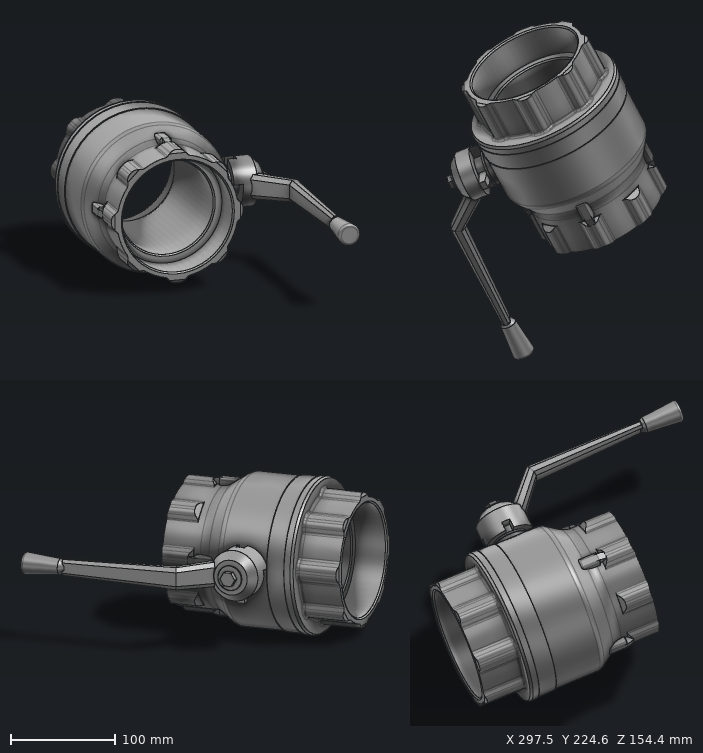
import cadquery as cq
import math


LENGTH = 184.7
NECK_RADIUS = 61.5
BODY_RADIUS = 75.3
COLLAR_START = 42.5
COLLAR_CHAMFER_LENGTH = 2.7
COLLAR_CHAMFER = 1.5
COLLAR_END = 51.8
COLLAR_RADIUS = 77.2
NECK_FILLET = 2.7
RING_END = 70.2
RING_RADIUS = 76.5
RING_TAPER = 0.3
SHOULDER_START = 116.5
SHOULDER_BEND = 5.0
CONE_LENGTH = 13.7
CONE_ANGLE = math.radians(33.7)

PASSAGE_RADIUS = 47.5
SEAT_CHAMFER = 1.5
SOCKET_RADIUS = 56.0
SOCKET_DEPTH = 32.7
MOUTH_CHAMFER = 1.5

LOBE_COUNT = 8
LOBE_RADIUS = 67.0
PAD_ROOT_RADIUS = 58.3
LOBE_CROWN_HALF = 1.5
LOBE_SHOULDER_HALF = 7.5
LOBE_FLANK_HALF = 10.5
LOBE_FOOT_HALF = 13.7
LOBE_END_LENGTH = 1.5
LOBE_END_DROP = 3.3
RIGHT_LOBE_START = 152.0
RIGHT_LOBE_RAMP = 4.5
RIGHT_RAMP_DROP = 5.0
RIGHT_VALLEY_SINK = 0.3
PAD_COUNT = 4
PAD_START = 129.0
PAD_END = 148.8
PAD_RADIUS = 68.7
PAD_WIDTH = 11.5
PAD_ROUND = 2.5
PAD_BRIDGE_WIDTH = 7.0

STEM_X = 92.2
STEM_BASE_Y = 53.5
HUB_RADIUS = 25.0
HUB_BOTTOM_Y = 80.3
HUB_BEVEL_Y = 104.5
HUB_TOP_Y = 112.8
HUB_TOP_RADIUS = 17.3
GLAND_RADIUS = 18.9
GLAND_TOP_Y = 78.0
STEM_RADIUS = 17.8
STEM_CORE_RADIUS = 12.8
WASHER_RADIUS = 12.2
WASHER_NECK_RADIUS = 10.5
WASHER_BOTTOM_Y = 114.0
WASHER_TOP_Y = 115.5
BOLT_TOP_Y = 121.0
BOLT_ACROSS_CORNERS = 15.2
NOTCH_TOP_Y = 89.5
NOTCH_HALF = 4.2
TAB_BOTTOM_Y = 82.0
TAB_TOP_Y = 88.0
TAB_REACH = 31.0
TAB_WIDTH = 8.3
TAB_SLOPE_REACH = 19.0

LEVER_TOP_Y = 140.7
GRIP_AXIS_Y = 136.3
GRIP_START = 254.0
GRIP_CONE_START = 259.7
GRIP_END = 297.5
GRIP_NOSE_RADIUS = 4.8
GRIP_CONE_RADIUS = 8.0
GRIP_END_RADIUS = 11.15
GRIP_ROUND = 2.7


def ring_copies(shape, count):
    """Copies of a shape spaced evenly around the bore axis."""
    return [shape.rotate((0, 0, 0), (1, 0, 0), i * 360 / count) for i in range(count)]


def turned_body():
    bend_drop = SHOULDER_BEND * math.tan(CONE_ANGLE / 2)
    cone_start = SHOULDER_START + SHOULDER_BEND
    cone_end = cone_start + CONE_LENGTH
    cone_end_radius = BODY_RADIUS - bend_drop - CONE_LENGTH * math.tan(CONE_ANGLE)
    hollow_length = (cone_end_radius - NECK_RADIUS) / math.tan(CONE_ANGLE / 2)
    return (
        cq.Workplane("XY")
        .moveTo(COLLAR_START, 0)
        .lineTo(COLLAR_START, COLLAR_RADIUS - COLLAR_CHAMFER)
        .lineTo(COLLAR_START + COLLAR_CHAMFER_LENGTH, COLLAR_RADIUS)
        .lineTo(COLLAR_END, COLLAR_RADIUS)
        .lineTo(COLLAR_END, RING_RADIUS)
        .lineTo(RING_END, RING_RADIUS - RING_TAPER)
        .lineTo(RING_END, BODY_RADIUS)
        .lineTo(SHOULDER_START, BODY_RADIUS)
        .tangentArcPoint((cone_start, BODY_RADIUS - bend_drop), relative=False)
        .lineTo(cone_end, cone_end_radius)
        .tangentArcPoint((cone_end + hollow_length, NECK_RADIUS), relative=False)
        .lineTo(LENGTH, NECK_RADIUS)
        .lineTo(LENGTH, 0)
        .close()
        .revolve(360, (0, 0, 0), (1, 0, 0))
    )


def bore():
    half = (
        cq.Workplane("XY")
        .moveTo(0, 0)
        .lineTo(0, SOCKET_RADIUS + MOUTH_CHAMFER)
        .lineTo(MOUTH_CHAMFER, SOCKET_RADIUS)
        .lineTo(SOCKET_DEPTH, SOCKET_RADIUS)
        .lineTo(SOCKET_DEPTH, PASSAGE_RADIUS + SEAT_CHAMFER)
        .lineTo(SOCKET_DEPTH + SEAT_CHAMFER, PASSAGE_RADIUS)
        .lineTo(LENGTH / 2, PASSAGE_RADIUS)
        .lineTo(LENGTH / 2, 0)
        .close()
        .revolve(360, (0, 0, 0), (1, 0, 0))
    )
    return half.union(half.mirror("YZ", (LENGTH / 2, 0, 0)))


def lobe_half_points(valley_radius):
    """(Y, Z) points down the +Y half of the top lobe: crown, shoulder, flank end and foot.

    The flank falls at 45 degrees. The hollow below it is an arc tangent to both
    the flank and the valley circle, which fixes the radius of the arc.
    """
    shoulder_z = LOBE_RADIUS - (LOBE_SHOULDER_HALF - LOBE_CROWN_HALF) * math.tan(math.pi / 8)
    flank_z = shoulder_z - (LOBE_FLANK_HALF - LOBE_SHOULDER_HALF)
    normal = math.sqrt(0.5)
    along_normal = (LOBE_FLANK_HALF + flank_z) * normal
    gap = LOBE_FLANK_HALF**2 + flank_z**2 - valley_radius**2
    hollow_radius = gap / (2 * (valley_radius - along_normal))
    center_y = LOBE_FLANK_HALF + hollow_radius * normal
    center_z = flank_z + hollow_radius * normal
    shrink = valley_radius / (valley_radius + hollow_radius)
    return [
        (LOBE_CROWN_HALF, LOBE_RADIUS),
        (LOBE_SHOULDER_HALF, shoulder_z),
        (LOBE_FLANK_HALF, flank_z),
        (center_y * shrink, center_z * shrink),
    ]


def turned(point, angle):
    y, z = point
    return (
        y * math.cos(angle) - z * math.sin(angle),
        y * math.sin(angle) + z * math.cos(angle),
    )


def lobed_prism(start_x, end_x, valley_radius):
    """Circle with smooth lobes, extruded along X."""
    crown, shoulder, flank, foot = lobe_half_points(valley_radius)
    step = 2 * math.pi / LOBE_COUNT
    sketch = cq.Workplane("YZ", origin=(start_x, 0, 0)).moveTo(*crown)
    for index in range(LOBE_COUNT):
        angle = index * step
        near = [turned((-y, z), angle) for y, z in (crown, shoulder, flank, foot)]
        far = [turned(p, angle + step) for p in (foot, flank, shoulder, crown)]
        valley = turned((0, valley_radius), angle + step / 2)
        sketch = (
            sketch.lineTo(*near[0])
            .tangentArcPoint(near[1], relative=False)
            .lineTo(*near[2])
            .tangentArcPoint(near[3], relative=False)
            .threePointArc(valley, far[0])
            .tangentArcPoint(far[1], relative=False)
            .lineTo(*far[2])
            .tangentArcPoint(far[3], relative=False)
        )
    return sketch.close().extrude(end_x - start_x)


def lobe_end_cut(end_x, length, drop):
    """Wedges that slope every lobe down toward end_x; a negative length slopes toward -X."""
    wedge = (
        cq.Workplane("XZ")
        .polyline([
            (end_x, LOBE_RADIUS - drop),
            (end_x, LOBE_RADIUS + drop),
            (end_x + length, LOBE_RADIUS + drop),
            (end_x + length, LOBE_RADIUS),
        ])
        .close()
        .extrude(LOBE_FOOT_HALF, both=True)
    )
    return ring_copies(wedge, LOBE_COUNT)


def right_lobes():
    lobes = lobed_prism(RIGHT_LOBE_START, LENGTH, NECK_RADIUS - RIGHT_VALLEY_SINK)
    wedges = lobe_end_cut(RIGHT_LOBE_START, RIGHT_LOBE_RAMP, RIGHT_RAMP_DROP)
    wedges += lobe_end_cut(LENGTH, -LOBE_END_LENGTH, LOBE_END_DROP)
    for wedge in wedges:
        lobes = lobes.cut(wedge)
    return lobes


def pad():
    """Raised pad on the shoulder cone with a narrow bridge to the lobe behind it."""
    block = (
        cq.Workplane("XY", origin=(0, 0, PAD_ROOT_RADIUS))
        .moveTo((PAD_START + PAD_END) / 2, 0)
        .rect(PAD_END - PAD_START, PAD_WIDTH)
        .extrude(PAD_RADIUS - PAD_ROOT_RADIUS)
        .edges("<X and |Z")
        .fillet(PAD_ROUND)
        .edges(">Z and |X")
        .fillet(PAD_ROUND)
    )
    bridge_end = RIGHT_LOBE_START + RIGHT_LOBE_RAMP
    bridge = (
        cq.Workplane("XZ")
        .polyline([
            (PAD_END - PAD_ROUND, PAD_ROOT_RADIUS),
            (PAD_END - PAD_ROUND, PAD_RADIUS),
            (PAD_END, PAD_RADIUS),
            (bridge_end, LOBE_RADIUS),
            (bridge_end, PAD_ROOT_RADIUS),
        ])
        .close()
        .extrude(PAD_BRIDGE_WIDTH / 2, both=True)
    )
    return block.union(bridge)


def stem_disc(bottom_y, top_y, radius):
    return (
        cq.Workplane("XZ", origin=(STEM_X, bottom_y, 0))
        .circle(radius)
        .extrude(bottom_y - top_y)
    )


def hub():
    """Bevelled hub, its lower edge cut back to let the lever swing past the stop tab."""
    bevel = HUB_RADIUS - HUB_TOP_RADIUS
    blank = (
        cq.Workplane("XY")
        .moveTo(STEM_X, HUB_BOTTOM_Y)
        .lineTo(STEM_X + HUB_RADIUS, HUB_BOTTOM_Y)
        .lineTo(STEM_X + HUB_RADIUS, HUB_BEVEL_Y)
        .lineTo(STEM_X + HUB_RADIUS - bevel, HUB_TOP_Y)
        .lineTo(STEM_X, HUB_TOP_Y)
        .close()
        .revolve(360, (STEM_X, 0, 0), (STEM_X, 1, 0))
    )
    notch_height = NOTCH_TOP_Y - HUB_BOTTOM_Y
    notch_base = cq.Workplane("XY", origin=(STEM_X, HUB_BOTTOM_Y, 0))
    swing_cut = notch_base.box(
        2 * HUB_RADIUS, notch_height, HUB_RADIUS + NOTCH_HALF, centered=(True, False, False)
    ).translate((0, 0, -HUB_RADIUS))
    window = notch_base.box(
        2 * NOTCH_HALF, notch_height, HUB_RADIUS, centered=(True, False, False)
    )
    core = stem_disc(HUB_BOTTOM_Y, NOTCH_TOP_Y, STEM_CORE_RADIUS)
    return blank.cut(swing_cut).cut(window).union(core)


def stop_tab():
    return (
        cq.Workplane("YZ", origin=(STEM_X, 0, 0))
        .polyline([
            (TAB_TOP_Y, 0),
            (TAB_TOP_Y, -TAB_REACH),
            (TAB_BOTTOM_Y, -TAB_REACH),
            (HUB_BOTTOM_Y, -TAB_SLOPE_REACH),
            (HUB_BOTTOM_Y, 0),
        ])
        .close()
        .extrude(TAB_WIDTH / 2, both=True)
    )


def stem():
    bolt = (
        cq.Workplane("XZ", origin=(STEM_X, HUB_TOP_Y, 0))
        .polygon(6, BOLT_ACROSS_CORNERS)
        .extrude(HUB_TOP_Y - BOLT_TOP_Y)
    )
    return (
        stem_disc(STEM_BASE_Y, GLAND_TOP_Y, GLAND_RADIUS)
        .union(stem_disc(GLAND_TOP_Y, HUB_BOTTOM_Y, STEM_RADIUS))
        .union(hub())
        .union(stop_tab())
        .union(stem_disc(HUB_TOP_Y, WASHER_BOTTOM_Y, WASHER_NECK_RADIUS))
        .union(stem_disc(WASHER_BOTTOM_Y, WASHER_TOP_Y, WASHER_RADIUS))
        .union(bolt)
    )


def lever_section(inner, outer, half_width, face_half_width):
    """Eight-sided wire spanning two (X, Y) points, widest over its middle half."""
    profile = [
        (0, face_half_width),
        (0.25, half_width),
        (0.7, half_width),
        (1, face_half_width),
    ]
    points = []
    for side, steps in ((1, profile), (-1, profile[::-1])):
        for along, reach in steps:
            x = inner[0] + along * (outer[0] - inner[0])
            y = inner[1] + along * (outer[1] - inner[1])
            points.append(cq.Vector(x, y, side * reach))
    return cq.Wire.makePolygon(points, close=True)


def lever():
    """Tapering arm rising from the hub, bent to run along +X into the grip."""
    sections = [
        lever_section((110.5, 90.5), (103.0, 104.0), 12.5, 8.0),
        lever_section((142.0, 128.0), (137.5, LEVER_TOP_Y), 11.0, 6.8),
        lever_section((256.5, 132.0), (256.5, LEVER_TOP_Y), 8.0, 5.0),
    ]
    return cq.Workplane(cq.Solid.makeLoft(sections, True))


def grip():
    return (
        cq.Workplane("XY", origin=(0, GRIP_AXIS_Y, 0))
        .moveTo(GRIP_START, 0)
        .lineTo(GRIP_START, GRIP_NOSE_RADIUS)
        .lineTo(GRIP_CONE_START, GRIP_CONE_RADIUS)
        .lineTo(GRIP_END - GRIP_ROUND, GRIP_END_RADIUS)
        .lineTo(GRIP_END, GRIP_END_RADIUS)
        .lineTo(GRIP_END, 0)
        .close()
        .revolve(360, (0, 0, 0), (1, 0, 0))
        .edges(">X")
        .fillet(GRIP_ROUND)
    )


def lobed_body():
    """Turned body with its left lobed neck, filleted where that meets the collar."""
    body = turned_body().union(lobed_prism(0, COLLAR_START, NECK_RADIUS))
    outer = LOBE_RADIUS + NECK_FILLET
    joint = cq.selectors.BoxSelector(
        (COLLAR_START - NECK_FILLET, -outer, -outer),
        (COLLAR_START + NECK_FILLET, outer, outer),
        boundingbox=True,
    )
    body = body.edges(joint).fillet(NECK_FILLET)
    for wedge in lobe_end_cut(0, LOBE_END_LENGTH, LOBE_END_DROP):
        body = body.cut(wedge)
    return body.union(right_lobes())


result = lobed_body()
for part in ring_copies(pad(), PAD_COUNT):
    result = result.union(part)
result = result.union(stem()).union(lever()).union(grip()).cut(bore())